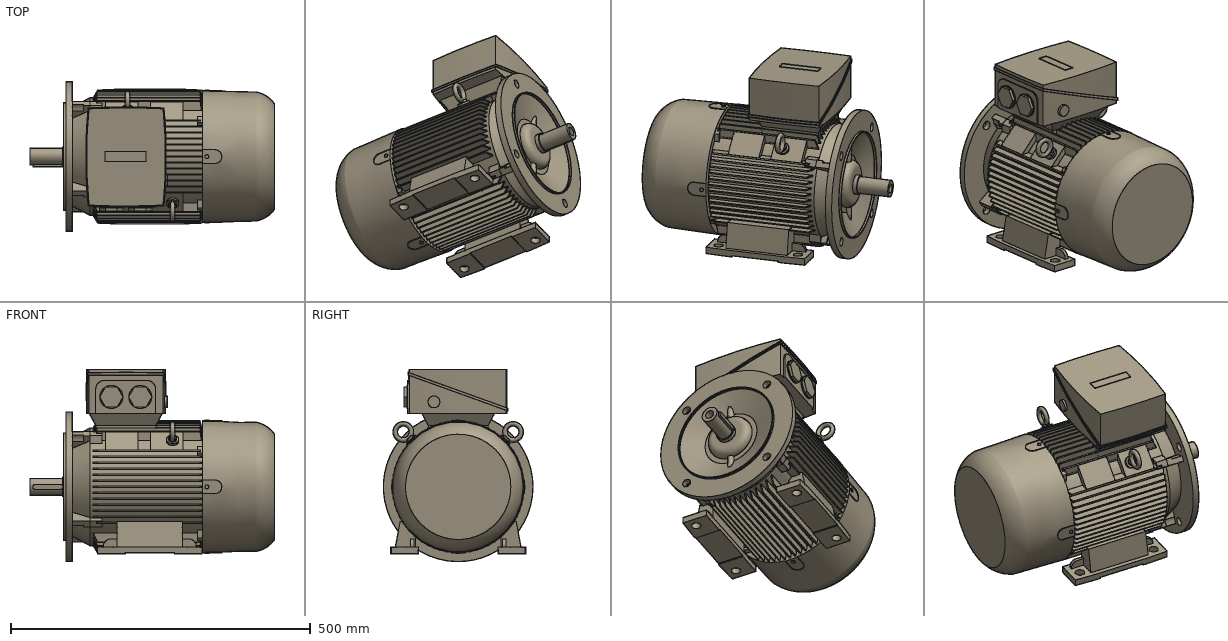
import cadquery as cq
import math


total_length = 408.5
spigot_front = 56.0
flange_front = 60.0
flange_back = flange_front + 11.0
frame_front = 100.5
cover_front = 288.0
frame_middle = 200

shaft_radius = 14.1
collar_radius = 16.5
flange_radius = 125.0
bolt_circle_radius = 107.5
spigot_radius = 90
shield_root_radius = 83.0
frame_radius = 98.5
fin_tip_radius = 110.3

bowl_lip_radius = 88.2
bowl_floor = 75.5
bowl_floor_radius = 49
hub_radius = 40.0
hub_face = 61.3
hub_face_radius = 28.0

foot_bottom = -112.0
box_bottom = 122.0
box_top = 196

quarter_turns = (0, 90, 180, 270)


def about_axis(shape, angle):
    """Turn a shape about the shaft axis."""
    return shape.rotate((0, 0, 0), (1, 0, 0), angle)


def block(x_range, y_range, z_range):
    """Axis-aligned block between pairs of limits."""
    x0, x1 = x_range
    y0, y1 = y_range
    z0, z1 = z_range
    return cq.Workplane("XY").box(x1 - x0, y1 - y0, z1 - z0, centered=False).translate((x0, y0, z0))


def rod(start, end, radius):
    """Cylinder about the shaft axis between two X positions."""
    return cq.Workplane("YZ").workplane(offset=start).circle(radius).extrude(end - start)


def ring_of_revolution(profile):
    """Revolve an (X, radius) profile about the shaft axis."""
    return profile.close().revolve(360, (0, 0, 0), (1, 0, 0))


def make_shaft():
    collar_start = 54.5
    centre_hole_radius = 7.5
    centre_hole_depth = 20.5
    shaft = rod(0, bowl_floor, shaft_radius)
    collar = rod(collar_start, bowl_floor, collar_radius)
    centre_hole = rod(0, centre_hole_depth, centre_hole_radius)
    return shaft.union(collar).cut(centre_hole)


def make_key():
    key_start = 5.0
    key_end = 55.5
    key_width = 8
    key_height = 17.0
    length = key_end - key_start
    key = cq.Workplane("XZ").center((key_start + key_end) / 2, 0).slot2D(length, key_width).extrude(key_height)
    shaft_core = rod(0, flange_front, shaft_radius / 2)
    return key.cut(shaft_core)


def make_flange():
    bolt_hole_diameter = 14.5
    hub_round = (64.5, 36.5)
    flange = rod(flange_front, flange_back, flange_radius)
    flange = flange.union(rod(spigot_front, flange_back, spigot_radius))
    bolt_holes = (
        cq.Workplane("YZ").workplane(offset=spigot_front)
        .polarArray(bolt_circle_radius, 45, 360, 4).circle(bolt_hole_diameter / 2)
        .extrude(flange_back - spigot_front)
    )
    shield = ring_of_revolution(
        cq.Workplane("XY").moveTo(flange_front, 0).lineTo(flange_front, shield_root_radius)
        .lineTo(flange_back, shield_root_radius).lineTo(frame_front, frame_radius).lineTo(frame_front, 0)
    )
    bowl = ring_of_revolution(
        cq.Workplane("XY").moveTo(spigot_front, 0).lineTo(spigot_front, bowl_lip_radius)
        .lineTo(flange_front, bowl_lip_radius).lineTo(bowl_floor, bowl_floor_radius)
        .lineTo(bowl_floor, hub_radius).threePointArc(hub_round, (hub_face, hub_face_radius))
        .lineTo(hub_face, 0)
    )
    return flange.cut(bolt_holes).union(shield).cut(bowl).union(make_hub_ribs())


def make_hub_ribs():
    """Two round-backed ribs that bridge the hub and the bowl, above and below the shaft."""
    rib_radius = 5.92
    rib_crest = 70.0
    rib_inner = 30.5
    rib_outer = 69.5
    rib = (
        cq.Workplane("XY").workplane(offset=rib_inner)
        .center(rib_crest + rib_radius, 0).circle(rib_radius).extrude(rib_outer - rib_inner)
    )
    web = block((rib_crest + rib_radius, bowl_floor + 4), (-rib_radius, rib_radius), (rib_inner, rib_outer))
    rib = rib.union(web)
    return rib.union(about_axis(rib, 180))


def make_fins():
    """Thirteen parallel fins on each of the four sides, trimmed to a chamfered drum."""
    fin_pitch = 10.0
    fins_each_way = 6
    fin_thickness = 2.0
    drum = ring_of_revolution(
        cq.Workplane("XY").moveTo(106.0, 0).lineTo(106.0, frame_radius).lineTo(112.7, fin_tip_radius)
        .lineTo(284.0, fin_tip_radius).lineTo(286.8, frame_radius).lineTo(286.8, 0)
    )
    root = frame_radius / 2
    fins = cq.Workplane("XY")
    for number in range(-fins_each_way, fins_each_way + 1):
        middle = number * fin_pitch
        y_range = (middle - fin_thickness / 2, middle + fin_thickness / 2)
        fins.add(block((frame_front, cover_front), y_range, (root, fin_tip_radius)))
    one_side = fins.combine().intersect(drum)
    all_sides = one_side
    for angle in quarter_turns[1:]:
        all_sides = all_sides.union(about_axis(one_side, angle))
    return all_sides


def make_frame():
    return rod(frame_front, cover_front, frame_radius).union(make_fins())


def make_lugs():
    """Clamping lugs at both ends of the frame; the flange ones continue as arms along the shield."""
    lug_length = 19.5
    short_lug_length = 8
    lug_side = 67.0
    lug_outline = [(-lug_side, 85.5), (-56.8, 92.0), (-41.3, 68.0), (-lug_side, 61.3)]
    arm_radius = 108.3
    arm_root = 61.3
    arm_width = 12.3
    arm_angle = 125
    arm = block((flange_back, frame_front), (arm_root, arm_radius), (-arm_width / 2, arm_width / 2))
    lug = cq.Workplane("YZ").workplane(offset=frame_front).polyline(lug_outline).close().extrude(lug_length)
    front_lug = about_axis(arm, arm_angle).union(lug)
    short_lug = (
        cq.Workplane("YZ").workplane(offset=cover_front).polyline(lug_outline).close()
        .extrude(-short_lug_length).mirror("XZ")
    )
    lugs = cq.Workplane("XY")
    for turn in quarter_turns:
        lugs = lugs.union(about_axis(front_lug, turn)).union(about_axis(short_lug, turn))

    bolt_clearance_radius = 15.5
    bolt_clearance_length = 18.8
    clearance = (
        cq.Workplane("YZ").workplane(offset=flange_back)
        .polarArray(bolt_circle_radius, 45, 360, 4).circle(bolt_clearance_radius).extrude(bolt_clearance_length)
    )
    return lugs.cut(clearance)


pad_ranges = ((126.2, 180.0), (201.0, 255.5))
pad_near = 60.5
pad_far = 92.0


def make_pads():
    """Flat 45 degree pads between the top fins and the side fins."""
    pads = cq.Workplane("XY")
    for x0, x1 in pad_ranges:
        for side in (-1, 1):
            pads = pads.union(
                cq.Workplane("YZ").workplane(offset=x0)
                .moveTo(side * pad_far, pad_near).lineTo(side * pad_near, pad_far)
                .lineTo(side * pad_near, pad_near).close().extrude(x1 - x0)
            )
    return pads


def make_lifting_eye(x, angle):
    """Ring standing on a collar, modelled along +Y and then turned about the shaft axis."""
    ring_distance = 129.5
    ring_mean_radius = 13.5
    ring_bar_radius = 3.9
    collar_height = 4
    eye_collar_radius = 10.2
    stem_radius = 6.5
    pad_distance = (pad_near + pad_far) / math.sqrt(2)
    root = cq.Workplane("XZ").workplane(offset=-pad_distance + 4)
    collar = root.circle(eye_collar_radius).extrude(-collar_height - 4)
    stem = root.circle(stem_radius).extrude(-collar_height - 8)
    ring = cq.Workplane(
        cq.Solid.makeTorus(ring_mean_radius, ring_bar_radius, cq.Vector(0, ring_distance, 0), cq.Vector(1, 0, 0))
    )
    return about_axis(collar.union(stem).union(ring).translate((x, 0, 0)), angle)


def make_foot():
    """Foot on the +Y side: base plate, sloped pedestal, two gussets and two bolt holes."""
    plate_half_length = 87.5
    middle_half_length = 50.2
    plate_inner = 66.5
    plate_outer = 112.7
    end_setback = 1.5
    plate_thickness = 11.5
    plate_top = foot_bottom + plate_thickness
    plate = (
        cq.Workplane("XY").workplane(offset=foot_bottom)
        .moveTo(-plate_half_length, plate_inner).lineTo(plate_half_length, plate_inner)
        .lineTo(plate_half_length, plate_outer - end_setback).lineTo(middle_half_length, plate_outer)
        .lineTo(-middle_half_length, plate_outer).lineTo(-plate_half_length, plate_outer - end_setback)
        .close().extrude(plate_thickness)
    )
    recess_half_length = 41
    recess_depth = 2.0
    recess = block(
        (-recess_half_length, recess_half_length),
        (plate_inner, plate_outer),
        (foot_bottom, foot_bottom + recess_depth),
    )

    bolt_spacing = 140.0
    bolt_y = 95.0
    bolt_hole_diameter = 15.5
    bolt_holes = (
        cq.Workplane("XY").workplane(offset=foot_bottom)
        .pushPoints([(-bolt_spacing / 2, bolt_y), (bolt_spacing / 2, bolt_y)])
        .circle(bolt_hole_diameter / 2).extrude(plate_thickness)
    )

    pedestal_half_length = 54.5
    pedestal_top = -57.5
    pedestal_inner = 71.5
    pedestal = (
        cq.Workplane("YZ").workplane(offset=-pedestal_half_length)
        .moveTo(pedestal_inner, plate_top).lineTo(105.0, plate_top).lineTo(97.0, pedestal_top)
        .lineTo(pedestal_inner, pedestal_top).close().extrude(2 * pedestal_half_length)
    )

    gusset_half_length = 77.5
    gusset_height = 13.5
    gusset_inner = 74.0
    gusset_outer = 79.5
    gusset = block(
        (-gusset_half_length, gusset_half_length),
        (gusset_inner, gusset_outer),
        (plate_top, plate_top + gusset_height),
    ).edges("|Y and >Z").fillet(gusset_height - 1.2)

    foot = plate.cut(recess).cut(bolt_holes).union(pedestal).union(gusset)
    return foot.translate((frame_middle, 0, 0))


def make_fan_cover():
    shoulder = 378.3
    cover = ring_of_revolution(
        cq.Workplane("XY").moveTo(cover_front, 0).lineTo(cover_front, 110.0).lineTo(shoulder, 108.0)
        .threePointArc((396.2, 100.0), (total_length, 88.0)).lineTo(total_length, 0)
    )
    tongue_width = 23.0
    tongue_end = 320.3
    tongue_face = 110.3
    screw_x = 295.5
    screw_radius = 3.3
    screw_height = 1.0
    straight_end = tongue_end - tongue_width / 2
    root = cq.Workplane("XY").workplane(offset=frame_radius)
    tongue = (
        root.moveTo(cover_front, -tongue_width / 2).lineTo(straight_end, -tongue_width / 2)
        .threePointArc((tongue_end, 0), (straight_end, tongue_width / 2))
        .lineTo(cover_front, tongue_width / 2).close().extrude(tongue_face - frame_radius)
    )
    screw = root.center(screw_x, 0).circle(screw_radius).extrude(tongue_face + screw_height - frame_radius)
    fixing = tongue.union(screw)
    for angle in quarter_turns:
        cover = cover.union(about_axis(fixing, angle))
    return cover


def barrel_prism(grow, bottom, top):
    """Upright prism with four slightly bulged sides, grown outward by a margin."""
    left, right = 99.0 - grow, 222.2 + grow
    near, far = -81.0 - grow, 79.5 + grow
    end_bulge = 4
    side_bulge = 1.5
    middle_x = (left + right) / 2
    middle_y = (near + far) / 2
    return (
        cq.Workplane("XY").workplane(offset=bottom).moveTo(left, near)
        .threePointArc((middle_x, near - side_bulge), (right, near))
        .threePointArc((right + end_bulge, middle_y), (right, far))
        .threePointArc((middle_x, far + side_bulge), (left, far))
        .threePointArc((left - end_bulge, middle_y), (left, near))
        .close().extrude(top - bottom)
    )


def make_lid_rim():
    """Sloping rim around the joint between box and lid."""
    rim_projection = 1.5
    rim_height = 4.5
    reach = 102
    middle_height = 156.5
    slope = -0.36
    rise = slope * reach
    layer = (
        cq.Workplane("YZ").moveTo(-reach, middle_height - rise).lineTo(reach, middle_height + rise)
        .lineTo(reach, middle_height + rise + rim_height).lineTo(-reach, middle_height - rise + rim_height)
        .close().extrude(total_length)
    )
    return barrel_prism(rim_projection, box_bottom, box_top).intersect(layer)


def make_neck():
    """Tapered neck on a straight base that joins the box to the frame."""
    base_bottom = 81.5
    taper_bottom = 102
    base_length, base_width = 100.0, 99.5
    top_length, top_width = 121.7, 121.0
    neck_x = 160.0
    base = (
        cq.Workplane("XY").workplane(offset=base_bottom).center(neck_x, 0)
        .rect(base_length, base_width).extrude(taper_bottom - base_bottom)
    )
    taper = (
        cq.Workplane("XY").workplane(offset=taper_bottom).center(neck_x, 0).rect(base_length, base_width)
        .workplane(offset=box_bottom - taper_bottom).rect(top_length, top_width).loft(combine=True)
    )
    return base.union(taper)


def make_entry_panel():
    """Raised panel with two hexagonal entry plugs on the -Y side of the box."""
    panel_face = -84.0
    panel_root = -73.5
    panel_corner = 15.0
    plug_face = -90.5
    plug_seat = -85.8
    plug_radius = 19.0
    plug_flats = 34.0
    plug_z = 150.0
    panel = block((110.0, 210.0), (panel_face, panel_root), (box_bottom, 177.5))
    panel = panel.edges("|Y and >Z").fillet(panel_corner)
    hexagon_diameter = plug_flats / math.cos(math.radians(30))
    for plug_x in (136.0, 184.2):
        root = cq.Workplane("XZ").workplane(offset=-panel_root).center(plug_x, plug_z)
        seat = root.circle(plug_radius).extrude(panel_root - plug_seat)
        head = root.polygon(6, hexagon_diameter).extrude(panel_root - plug_face)
        panel = panel.union(seat).union(head)
    return panel


def make_terminal_box():
    end_plug_radius = 10.0
    end_plug_y = -40.5
    end_plug_z = 141.7
    end_plug_root = 204.2
    end_plug_face = 229.5
    name_field_depth = 1.0
    box = barrel_prism(0, box_bottom, box_top)
    name_field = block((126.0, 194.0), (-8, 8), (box_top - name_field_depth, box_top))
    end_plug = (
        cq.Workplane("YZ").workplane(offset=end_plug_root).center(end_plug_y, end_plug_z)
        .circle(end_plug_radius).extrude(end_plug_face - end_plug_root)
    )
    box = box.cut(name_field).union(make_lid_rim()).union(end_plug)
    return box.union(make_entry_panel()).union(make_neck())


foot = make_foot()
parts = [
    make_frame(),
    make_shaft(),
    make_key(),
    make_lugs(),
    make_pads(),
    make_lifting_eye(163.0, 45),
    make_lifting_eye(238.0, 135),
    foot,
    foot.mirror("XZ"),
    make_fan_cover(),
    make_terminal_box(),
]
result = make_flange()
for part in parts:
    result = result.union(part)